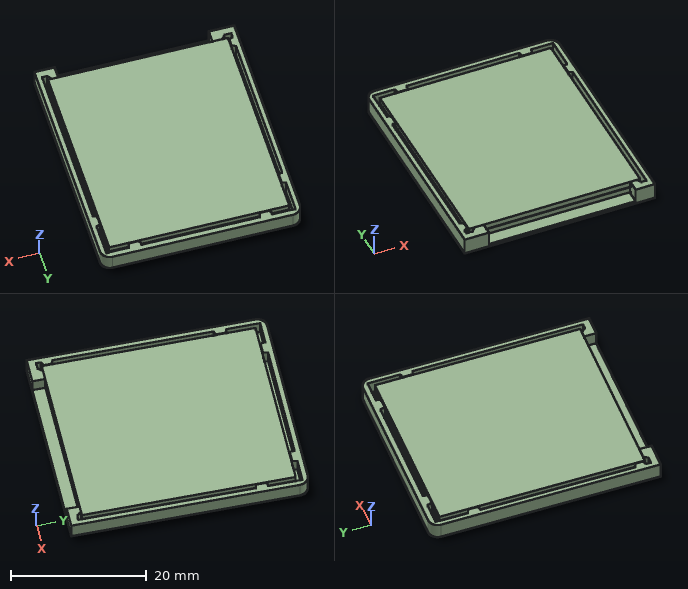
import cadquery as cq

width = 30.7
length = 36.0
height = 2.7
corner_radius = 1.5
floor_thickness = 0.45

side_wall = 0.83
back_wall = 0.95
front_wall = 1.25
cavity_right = width / 2 - side_wall
cavity_left = -cavity_right
cavity_back = length - back_wall

plate_width = 27.65
plate_front = 1.95
plate_back = 34.2
plate_thickness = 0.97
film_thickness = 0.07
upper_plate_bottom = height - plate_thickness
film_bottom = upper_plate_bottom - film_thickness
lower_plate_bottom = film_bottom - plate_thickness

tab_clearance = 0.1
side_tab_tip = plate_width / 2 + tab_clearance
back_tab_tip = plate_back + tab_clearance
back_tab_center = 10.05
back_tab_base_width = 1.95
back_tab_tip_width = 1.65
side_tab_center = 28.98
side_tab_base_width = 1.95
side_tab_tip_width = 1.6
low_tab_center = 2.85
low_tab_base_width = 1.8
low_tab_tip_width = 1.15

left_block_base = 1.85
left_block_tip = 2.38
right_block_base = 1.62
right_block_tip = 2.12
opening_left = -width / 2 + 3.92
opening_right = width / 2 - 3.15


def prism(points):
    """Extrude an outline from the tray floor up to the rim."""
    base = cq.Workplane("XY").workplane(offset=floor_thickness)
    return base.polyline(points).close().extrude(height - floor_thickness)


def side_tab(side, center, base_width, tip_width):
    """Tapered tab on the left (side = -1) or right (side = 1) wall."""
    base_x = side * cavity_right
    tip_x = side * side_tab_tip
    return prism([
        (base_x, center - base_width / 2),
        (tip_x, center - tip_width / 2),
        (tip_x, center + tip_width / 2),
        (base_x, center + base_width / 2),
    ])


def back_tab(center):
    """Tapered tab on the back wall."""
    return prism([
        (center - back_tab_base_width / 2, cavity_back),
        (center - back_tab_tip_width / 2, back_tab_tip),
        (center + back_tab_tip_width / 2, back_tab_tip),
        (center + back_tab_base_width / 2, cavity_back),
    ])


def make_cavity():
    """Pocket bounded in front by the corner blocks and open between them."""
    return prism([
        (cavity_left, cavity_back),
        (cavity_left, front_wall),
        (-width / 2 + left_block_base, front_wall),
        (-width / 2 + left_block_tip, plate_front),
        (opening_left, plate_front),
        (opening_left, 0),
        (opening_right, 0),
        (opening_right, plate_front),
        (width / 2 - right_block_tip, plate_front),
        (width / 2 - right_block_base, front_wall),
        (cavity_right, front_wall),
        (cavity_right, cavity_back),
    ])


def make_tray():
    tray = cq.Workplane("XY").box(width, length, height, centered=(True, False, False))
    tray = tray.edges("|Z and >Y").fillet(corner_radius)
    tray = tray.cut(make_cavity())
    for side in (-1, 1):
        tray = tray.union(back_tab(side * back_tab_center))
        tray = tray.union(side_tab(side, side_tab_center, side_tab_base_width, side_tab_tip_width))
    return tray.union(side_tab(-1, low_tab_center, low_tab_base_width, low_tab_tip_width))


def make_sheet(thickness, bottom):
    """Flat sheet with the outline that the plates and the film share."""
    sheet = cq.Workplane("XY").box(
        plate_width, plate_back - plate_front, thickness, centered=(True, False, False)
    )
    return sheet.translate((0, plate_front, bottom))


def make_plate(bottom):
    return make_sheet(plate_thickness, bottom)


def make_film():
    return make_sheet(film_thickness, film_bottom)


tray = make_tray()
lower_plate = make_plate(lower_plate_bottom)
film = make_film()
upper_plate = make_plate(upper_plate_bottom)

result = cq.Compound.makeCompound([tray.val(), lower_plate.val(), film.val(), upper_plate.val()])